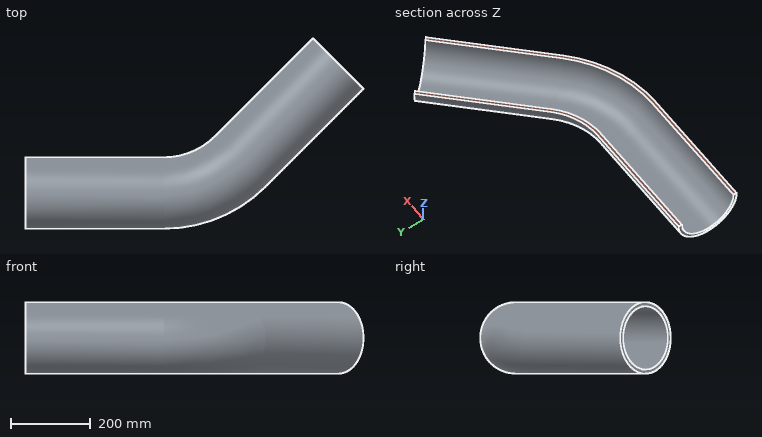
import cadquery as cq
import math

outer_diameter = 180.0
inner_diameter = 159.0

overall_length = 849.0
bend_radius = 1.5 * outer_diameter
bend_angle = 45.0
bend_cos = math.cos(math.radians(bend_angle))
bend_sin = math.sin(math.radians(bend_angle))

outer_bend_radius = bend_radius + outer_diameter / 2
leg_length = (overall_length - outer_bend_radius * bend_sin) / (1 + bend_cos)


def bend_point(angle):
    """Point on the bend centreline after turning by the angle in degrees."""
    turn = math.radians(angle)
    return (
        leg_length + bend_radius * math.sin(turn),
        bend_radius * (1 - math.cos(turn)),
    )


bend_end = bend_point(bend_angle)
pipe_end = (
    bend_end[0] + leg_length * bend_cos,
    bend_end[1] + leg_length * bend_sin,
)

centreline = (
    cq.Workplane("XY")
    .lineTo(leg_length, 0)
    .threePointArc(bend_point(bend_angle / 2), bend_end)
    .lineTo(*pipe_end)
)

result = (
    cq.Workplane("YZ")
    .circle(outer_diameter / 2)
    .circle(inner_diameter / 2)
    .sweep(centreline)
)